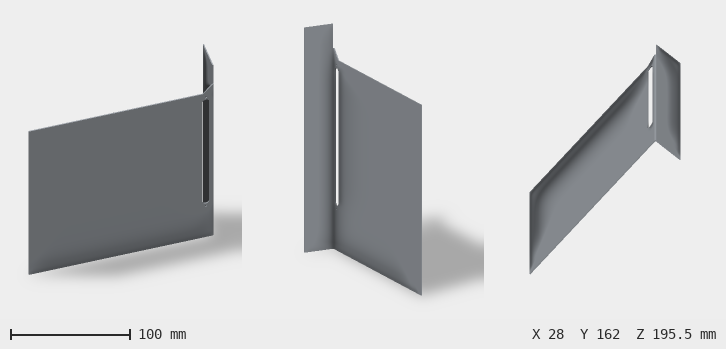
import cadquery as cq

flange_width = 28.0
plate_length = 162.0
height = 195.5

sheet = 1.0
inner_bend_radius = 0.4
outer_bend_radius = inner_bend_radius + sheet

plate_height = 165.5
bend_height = 174.4
gusset_start = 9.8

slot_offset = 7.0
slot_width = 6.3
slot_length = 119.8
slot_middle = 98.7
hole_diameter = 2.0
hole_spacing = 125.1


def make_flange():
    """Full-height flat strip in the XZ plane, stopping where the bend begins."""
    flat_width = flange_width - outer_bend_radius
    strip = cq.Workplane("XY").box(flat_width, sheet, height, centered=False)
    return strip.translate((-flange_width, -sheet, 0))


def make_bend():
    """Quarter-round bend joining the flange to the plate."""
    centre = (-outer_bend_radius, -outer_bend_radius)
    outer = cq.Workplane("XY").center(*centre).circle(outer_bend_radius).extrude(bend_height)
    inner = cq.Workplane("XY").center(*centre).circle(inner_bend_radius).extrude(bend_height)
    quadrant = cq.Workplane("XY").box(
        outer_bend_radius, outer_bend_radius, bend_height, centered=False
    ).translate((*centre, 0))
    return outer.cut(inner).intersect(quadrant)


def make_plate():
    """Large flat plate in the YZ plane, with the gusset at its upper corner."""
    outline = [
        (-outer_bend_radius, 0),
        (-plate_length, 0),
        (-plate_length, plate_height),
        (-gusset_start, plate_height),
        (-outer_bend_radius, bend_height),
    ]
    return cq.Workplane("YZ").polyline(outline).close().extrude(-sheet)


def make_openings():
    """Cutters for the vertical slot and its two end holes."""
    centre = cq.Workplane("YZ").center(-slot_offset, slot_middle)
    slot = centre.slot2D(slot_length, slot_width, 90).extrude(-sheet)
    hole_places = [(0, -hole_spacing / 2), (0, hole_spacing / 2)]
    holes = centre.pushPoints(hole_places).circle(hole_diameter / 2).extrude(-sheet)
    return slot.union(holes)


bracket = make_flange().union(make_bend()).union(make_plate())
result = bracket.cut(make_openings())